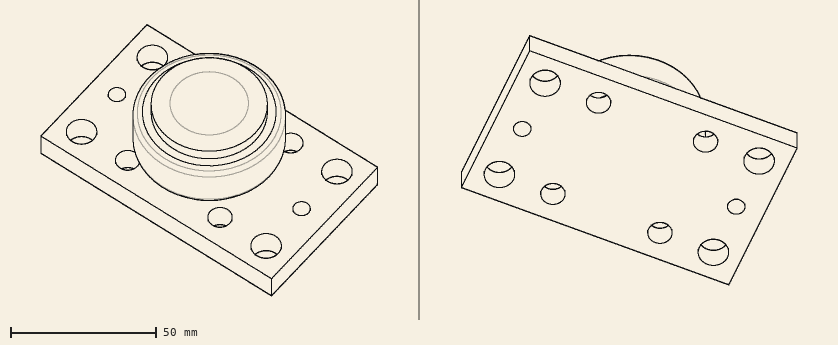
import cadquery as cq

plate_length = 100.0
plate_width = 60.0
plate_thickness = 10.0

corner_hole_diameter = 10.5
corner_hole_x = 40.0
corner_hole_y = 20.0
inner_hole_diameter = 8.4
inner_hole_x = 20.0
inner_hole_y = 20.0
dowel_hole_diameter = 6.0
dowel_hole_x = 40.0

stem_diameter = 42.0
roller_diameter = 52.5
roller_bottom = 16.0
roller_top = 33.0
roller_lower_edge_radius = 2.0
roller_upper_edge_radius = 1.5
roller_top_cone_height = 0.6
roller_top_face_diameter = 46.0

cap_diameter = 40.0
cap_face_diameter = 27.0
total_height = 38.0
cap_cone_height = 0.6


def cylinder(diameter, bottom, top):
    return cq.Workplane("XY").workplane(offset=bottom).circle(diameter / 2).extrude(top - bottom)


def mirrored_points(x, y):
    return [(side_x * x, side_y * y) for side_x in (-1, 1) for side_y in (-1, 1)]


def make_plate():
    plate = cq.Workplane("XY").box(plate_length, plate_width, plate_thickness, centered=(True, True, False))
    hole_groups = [
        (corner_hole_diameter, mirrored_points(corner_hole_x, corner_hole_y)),
        (inner_hole_diameter, mirrored_points(inner_hole_x, inner_hole_y)),
        (dowel_hole_diameter, [(-dowel_hole_x, 0), (dowel_hole_x, 0)]),
    ]
    for diameter, points in hole_groups:
        plate = plate.faces(">Z").workplane(origin=(0, 0, 0)).pushPoints(points).hole(diameter)
    return plate


def revolve_about_z(outline):
    return outline.close().revolve(360, (0, 0, 0), (0, 1, 0))


def make_roller():
    radius = roller_diameter / 2
    lower_flat_radius = radius - roller_lower_edge_radius
    cone_outer_radius = radius - roller_upper_edge_radius
    cone_bottom = roller_top - roller_top_cone_height
    outline = (
        cq.Workplane("XZ")
        .moveTo(0, roller_bottom)
        .lineTo(lower_flat_radius, roller_bottom)
        .tangentArcPoint((radius, roller_bottom + roller_lower_edge_radius), relative=False)
        .lineTo(radius, cone_bottom - roller_upper_edge_radius)
        .tangentArcPoint((cone_outer_radius, cone_bottom), relative=False)
        .lineTo(roller_top_face_diameter / 2, roller_top)
        .lineTo(0, roller_top)
    )
    return revolve_about_z(outline)


def make_cap():
    cap_edge_height = total_height - cap_cone_height
    profile = [
        (0, roller_top),
        (cap_diameter / 2, roller_top),
        (cap_diameter / 2, cap_edge_height),
        (cap_face_diameter / 2, total_height),
        (0, total_height),
    ]
    return revolve_about_z(cq.Workplane("XZ").polyline(profile))


stem = cylinder(stem_diameter, plate_thickness, roller_bottom)
result = make_plate().union(stem).union(make_roller()).union(make_cap())